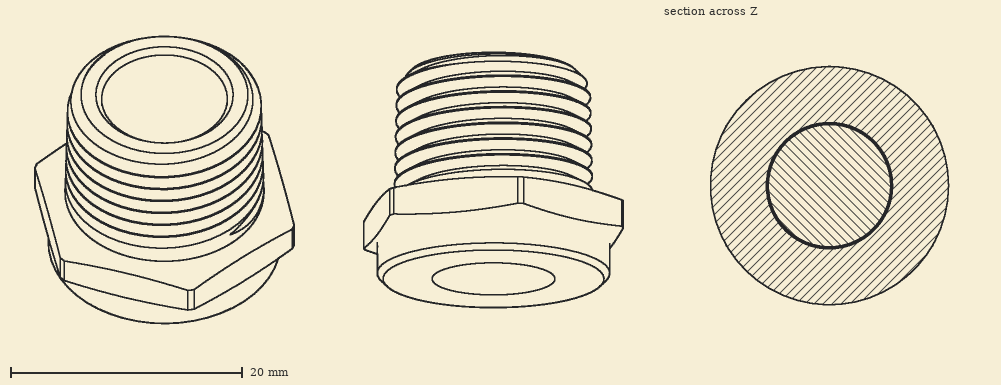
import cadquery as cq
import math

total_height = 18.29
head_height = 3.33
hex_top = 6.36
hex_thickness = hex_top - head_height

head_radius = 10.03
head_chamfer = 0.5

hex_across_flats = 20.57
hex_corner_diameter = 23.45
hex_bevel_angle = math.radians(12)
shoulder_fillet = 0.25

thread_pitch = 25.4 / 18
taper_slope = 0.022
spigot_base_radius = 8.59
spigot_top_chamfer_radius = 7.2
thread_depth = 1.12
thread_half_angle = math.radians(30)
thread_start_height = 7.68
thread_overcut = 0.07

bore_radius = 5.42
bore_chamfer = 0.5
plug_radius = 5.3
plug_chamfer = 0.25
plug_seat_height = head_height
plug_height = plug_seat_height + plug_chamfer


def spigot_radius(height):
    """Crest radius of the tapered spigot at a height above the bottom face."""
    return spigot_base_radius - taper_slope * (height - hex_top)


def make_head():
    return cq.Workplane("XY").circle(head_radius).extrude(head_height).faces("<Z").chamfer(head_chamfer)


def make_hexagon():
    """Hexagonal plate with its corners on the X axis, trimmed by a double-coned disc."""
    corner_radius = hex_corner_diameter / 2
    bottom_flat_radius = head_radius + shoulder_fillet
    top_drop = (corner_radius - head_radius) * math.tan(hex_bevel_angle)
    bottom_rise = (corner_radius - bottom_flat_radius) * math.tan(hex_bevel_angle)
    sharp_corner_diameter = hex_across_flats / math.cos(math.pi / 6)
    plate = (
        cq.Workplane("XY")
        .workplane(offset=head_height)
        .polygon(6, sharp_corner_diameter)
        .extrude(hex_thickness)
    )
    coned_disc = (
        cq.Workplane("XZ")
        .moveTo(0, head_height)
        .lineTo(bottom_flat_radius, head_height)
        .lineTo(corner_radius, head_height + bottom_rise)
        .lineTo(corner_radius, hex_top - top_drop)
        .lineTo(head_radius, hex_top)
        .lineTo(0, hex_top)
        .close()
        .revolve(360, (0, 0, 0), (0, 1, 0))
    )
    return plate.intersect(coned_disc)


def make_shoulder_fillet(radius, shoulder_height, direction):
    """Ring that fills the inside corner where a round wall leaves a flat shoulder."""
    far_height = shoulder_height + direction * shoulder_fillet
    fillet_centre = (radius + shoulder_fillet, far_height)
    middle = (
        fillet_centre[0] - shoulder_fillet * math.cos(math.pi / 4),
        fillet_centre[1] - direction * shoulder_fillet * math.sin(math.pi / 4),
    )
    inner_radius = radius - 2 * shoulder_fillet
    return (
        cq.Workplane("XZ")
        .moveTo(inner_radius, shoulder_height)
        .lineTo(radius + shoulder_fillet, shoulder_height)
        .threePointArc(middle, (radius, far_height))
        .lineTo(inner_radius, far_height)
        .close()
        .revolve(360, (0, 0, 0), (0, 1, 0))
    )


def make_spigot_blank():
    """Tapered spigot with a 45 degree lead-in chamfer at its top."""
    chamfer_size = (spigot_radius(total_height) - spigot_top_chamfer_radius) / (1 - taper_slope)
    chamfer_height = total_height - chamfer_size
    return (
        cq.Workplane("XZ")
        .moveTo(0, hex_top)
        .lineTo(-spigot_base_radius, hex_top)
        .lineTo(-spigot_radius(chamfer_height), chamfer_height)
        .lineTo(-spigot_top_chamfer_radius, total_height)
        .lineTo(0, total_height)
        .close()
        .revolve(360, (0, 0, 0), (0, 1, 0))
    )


def make_groove_section():
    """V section of the thread groove in the XZ plane, with its mouth parallel to the tapered surface."""
    surface_radius = spigot_radius(thread_start_height)
    half_width = (thread_depth + thread_overcut) * math.tan(thread_half_angle)
    outer_radius = surface_radius + thread_overcut
    outer_rise = taper_slope * half_width
    return (
        cq.Workplane("XZ")
        .moveTo(surface_radius - thread_depth, thread_start_height)
        .lineTo(outer_radius + outer_rise, thread_start_height - half_width)
        .lineTo(outer_radius - outer_rise, thread_start_height + half_width)
        .close()
    )


def make_thread_groove():
    """Right-hand V groove that starts on the +X side and climbs past the top of the spigot."""
    path = cq.Wire.makeHelix(
        thread_pitch,
        total_height + thread_pitch - thread_start_height,
        spigot_radius(thread_start_height),
        cq.Vector(0, 0, thread_start_height),
        cq.Vector(0, 0, 1),
        -math.degrees(math.atan(taper_slope)),
    )
    return make_groove_section().sweep(cq.Workplane(path), isFrenet=True)


def make_thread_runout():
    """Straight cut that carries the start of the groove out through the surface toward -Y."""
    return make_groove_section().extrude(spigot_base_radius)


def make_bore():
    """Chamfered bore above a slightly narrower seat that runs through the head."""
    seat = cq.Workplane("XY").circle(plug_radius).extrude(plug_seat_height)
    bore = (
        cq.Workplane("XY")
        .workplane(offset=plug_seat_height)
        .circle(bore_radius)
        .extrude(total_height - plug_seat_height)
    )
    lead_in = cq.Solid.makeCone(
        bore_radius, bore_radius + bore_chamfer, bore_chamfer, cq.Vector(0, 0, total_height - bore_chamfer)
    )
    return seat.union(bore).union(cq.Workplane(lead_in))


def make_housing():
    body = (
        make_head()
        .union(make_hexagon())
        .union(make_spigot_blank())
        .union(make_shoulder_fillet(head_radius, head_height, -1))
        .union(make_shoulder_fillet(spigot_base_radius, hex_top, 1))
    )
    return body.cut(make_bore()).cut(make_thread_groove()).cut(make_thread_runout())


def make_plug():
    return cq.Workplane("XY").circle(plug_radius).extrude(plug_height).faces(">Z").chamfer(plug_chamfer)


housing = make_housing()
plug = make_plug()

result = cq.Compound.makeCompound([housing.val(), plug.val()])